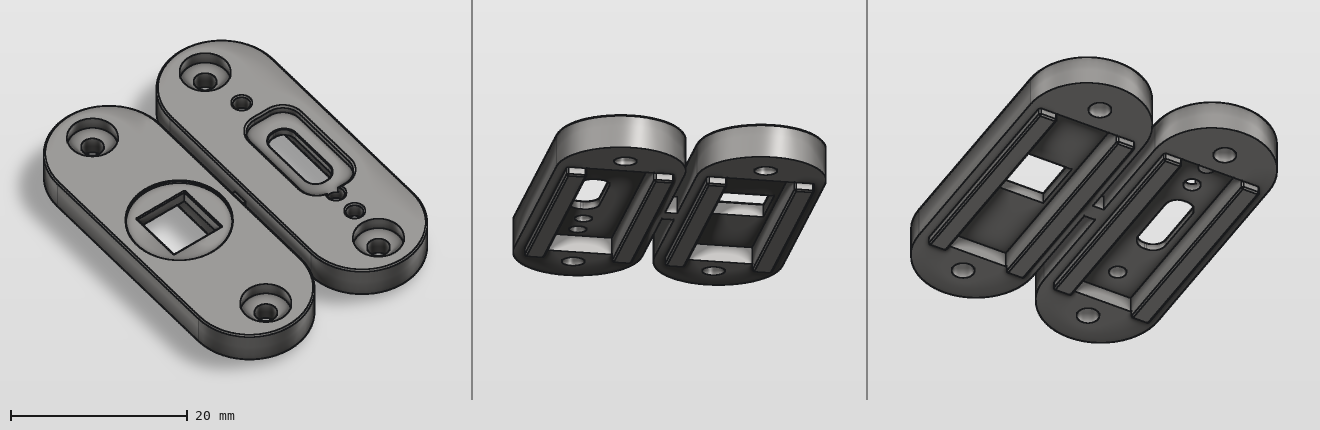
import cadquery as cq

plate_length = 40.66
plate_width = 14.75
plate_thickness = 4.0
plate_edge_chamfer = 0.2
plate_gap = 1.4
plate_offset_y = (plate_width + plate_gap) / 2

bridge_width = 2.0
bridge_height = 2.0

rail_length = 26.0
rail_width = 2.3
rail_height = 1.0
rail_margin = 1.2
rail_edge_chamfer = 0.2
rail_offset_y = plate_width / 2 - rail_margin - rail_width / 2
pocket_width = 2 * rail_offset_y - rail_width
pocket_depth = 2.0

screw_spacing = 31.9
screw_hole_diameter = 2.6
counterbore_diameter = 5.8
counterbore_depth = 1.6

recess_length = 13.9
recess_width = 7.0
recess_radius = 2.4
recess_depth = 1.0
recess_chamfer = 0.25
connector_offset_y = 1.15
slot_length = 9.4
slot_width = 3.5
slot_radius = 1.6
slot_chamfer = 0.1
led_hole_diameter = 2.0
led_hole_chamfer = 0.2
led_offset_y = 0.4
led_positions_x = (-9.75, 7.6, 11.05)

dial_diameter = 12.0
dial_depth = 0.4
dial_chamfer = 0.1
window_size = 6.7
window_chamfer = 0.15


def flared_cutter(section, top_z, depth, chamfer):
    """Cutter reaching down from top_z, with a 45 degree flare that chamfers its rim."""
    shaft = cq.Workplane("XY", origin=(0, 0, top_z)).placeSketch(section).extrude(-depth)
    flare_base = cq.Workplane("XY", origin=(0, 0, top_z - chamfer))
    flare = flare_base.placeSketch(section).extrude(chamfer, taper=-45)
    return shaft.union(flare)


def rounded_section(length, width, radius):
    return cq.Sketch().rect(length, width).vertices().fillet(radius)


def make_rail():
    rail = cq.Workplane("XY").box(rail_length, rail_width, rail_height, centered=(True, True, False))
    rail = rail.translate((0, 0, -rail_height))
    return rail.edges("|Z or <Z").chamfer(rail_edge_chamfer)


def make_cover():
    """Plate with rails, underside pocket and screw holes, shared by both covers."""
    plate = cq.Workplane("XY").slot2D(plate_length, plate_width).extrude(plate_thickness)
    plate = plate.faces(">Z").edges().chamfer(plate_edge_chamfer)
    plate = (
        plate.faces(">Z").workplane(origin=(0, 0, 0))
        .rarray(screw_spacing, 1, 2, 1)
        .cboreHole(screw_hole_diameter, counterbore_diameter, counterbore_depth)
    )
    pocket = cq.Workplane("XY").rect(rail_length, pocket_width).extrude(pocket_depth)
    plate = plate.cut(pocket)
    for side in (-1, 1):
        plate = plate.union(make_rail().translate((0, side * rail_offset_y, 0)))
    return plate


def make_connector_cover():
    floor_z = plate_thickness - recess_depth
    recess_section = rounded_section(recess_length, recess_width, recess_radius)
    slot_section = rounded_section(slot_length, slot_width, slot_radius)
    recess = flared_cutter(recess_section, plate_thickness, recess_depth, recess_chamfer)
    slot = flared_cutter(slot_section, floor_z, floor_z, slot_chamfer)
    cover = make_cover().cut(recess.union(slot).translate((0, connector_offset_y, 0)))

    led_section = cq.Sketch().circle(led_hole_diameter / 2)
    led_hole = flared_cutter(led_section, plate_thickness, plate_thickness, led_hole_chamfer)
    for x in led_positions_x:
        cover = cover.cut(led_hole.translate((x, led_offset_y, 0)))
    return cover


def make_window_cover():
    floor_z = plate_thickness - dial_depth
    dial_section = cq.Sketch().circle(dial_diameter / 2)
    window_section = cq.Sketch().rect(window_size, window_size)
    dial = flared_cutter(dial_section, plate_thickness, dial_depth, dial_chamfer)
    window = flared_cutter(window_section, floor_z, floor_z, window_chamfer)
    return make_cover().cut(dial).cut(window)


def make_bridge():
    """Bar across the gap; it reaches each plate's straight side."""
    return cq.Workplane("XY").rect(bridge_width, plate_gap).extrude(bridge_height)


connector_cover = make_connector_cover().translate((0, plate_offset_y, 0))
window_cover = make_window_cover().translate((0, -plate_offset_y, 0))
result = connector_cover.union(window_cover).union(make_bridge())